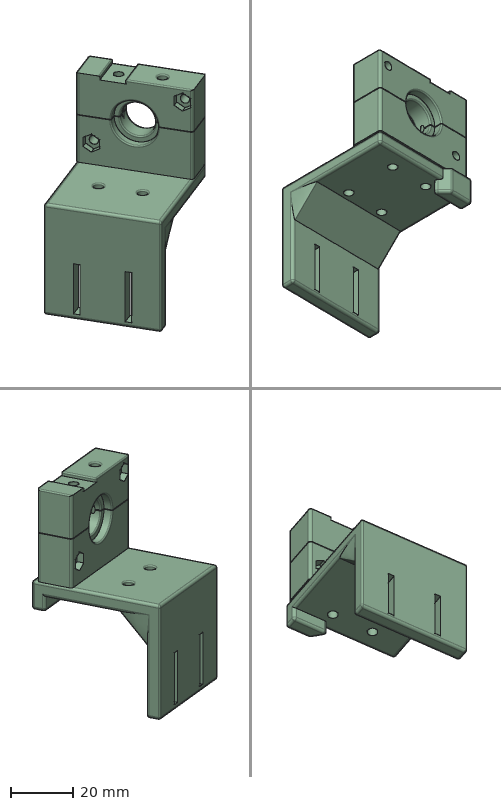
import cadquery as cq
import math

WIDTH = 40.0
DEPTH = 46.7
HEIGHT = 72.2
PLATE_TOP = 40.0
WALL = 5.0
EDGE_ROUND = 1.0
LEG_ROUND = 0.6
SMALL_ROUND = 0.47

HOOK_DROP = 10.0
HOOK_OVERHANG = 2.0
HOOK_WIDTH = 9.2
GUSSET_LEG = 10.0
SLOT_WIDTH = 2.2
SLOT_OFFSET = 8.8
SLOT_BOTTOM = 1.95
SLOT_TOP = 20.0

BLOCK_DEPTH = 12.7
LOWER_HEIGHT = 17.0
SPLIT_GAP = 0.2
NOTCH_START = 8.15
NOTCH_WIDTH = 8.7
NOTCH_DEPTH = 1.4
BORE_DIAMETER = 12.0
SEAT_DIAMETER = 16.0
SEAT_DEPTH = 3.0

BOLT_DIAMETER = 3.4
BOLT_OFFSET = 7.5
REAR_BOLT_Y = 38.0
FRONT_BOLT_Y = 18.0
SCREW_DIAMETER = 3.2
NUT_FLATS = 5.6
NUT_DEPTH = 2.5
LOWER_SCREW = (-14.7, 47.6)
UPPER_SCREW = (16.3, 67.4)

LEFT = -WIDTH / 2
RIGHT = WIDTH / 2
PLATE_BOTTOM = PLATE_TOP - WALL
PLATE_BACK = DEPTH - HOOK_OVERHANG
BLOCK_FRONT = PLATE_BACK - BLOCK_DEPTH
LOWER_TOP = PLATE_TOP + LOWER_HEIGHT
UPPER_BOTTOM = LOWER_TOP + SPLIT_GAP
BORE_Z = (LOWER_TOP + UPPER_BOTTOM) / 2
NOTCH_LEFT = LEFT + NOTCH_START
NOTCH_RIGHT = NOTCH_LEFT + NOTCH_WIDTH
NOTCH_FLOOR = HEIGHT - NOTCH_DEPTH


def box(x_range, y_range, z_range):
    """Axis-aligned box between the given limits."""
    spans = (x_range, y_range, z_range)
    lengths = [high - low for low, high in spans]
    corner = tuple(low for low, high in spans)
    return cq.Workplane("XY").box(*lengths, centered=False).translate(corner)


def bolt_hole(x, y):
    """Vertical bolt-sized cylinder over the full height."""
    return cq.Workplane("XY").center(x, y).circle(BOLT_DIAMETER / 2).extrude(HEIGHT)


def rounded_bolt_hole(x, y, rim_z):
    """Vertical bolt hole whose rim is rounded where it opens at rim_z."""
    hole_radius = BOLT_DIAMETER / 2
    rim_radius = hole_radius + SMALL_ROUND
    flare = (
        cq.Workplane("XZ")
        .lineTo(rim_radius, 0)
        .radiusArc((hole_radius, -SMALL_ROUND), -SMALL_ROUND)
        .lineTo(0, -SMALL_ROUND)
        .close()
        .revolve(360, (0, 0, 0), (0, 1, 0))
        .translate((x, y, rim_z))
    )
    return bolt_hole(x, y).union(flare)


def nut_screw_hole(place):
    """Screw hole along Y with a hexagonal nut pocket in the front face of a block."""
    front = cq.Workplane("XZ", origin=(0, BLOCK_FRONT, 0)).center(*place)
    screw = front.circle(SCREW_DIAMETER / 2).extrude(-BLOCK_DEPTH)
    nut = front.polygon(6, NUT_FLATS, circumscribed=True).extrude(-NUT_DEPTH)
    return screw.union(nut)


def bearing_bore():
    """Bore along Y with the same bearing seat at the front and the back, all rims rounded."""
    bore_radius = BORE_DIAMETER / 2
    seat_radius = SEAT_DIAMETER / 2
    middle = BLOCK_DEPTH / 2
    front_half = (
        cq.Workplane("XY")
        .lineTo(seat_radius + SMALL_ROUND, 0)
        .radiusArc((seat_radius, SMALL_ROUND), SMALL_ROUND)
        .lineTo(seat_radius, SEAT_DEPTH)
        .lineTo(bore_radius + SMALL_ROUND, SEAT_DEPTH)
        .radiusArc((bore_radius, SEAT_DEPTH + SMALL_ROUND), SMALL_ROUND)
        .lineTo(bore_radius, middle)
        .lineTo(0, middle)
        .close()
        .revolve(360, (0, 0, 0), (0, 1, 0))
        .translate((0, -middle, 0))
    )
    bore = front_half.union(front_half.mirror("XZ")).clean()
    return bore.translate((0, BLOCK_FRONT + middle, BORE_Z))


def rounded_column(bottom, top):
    """Block of the clamp's footprint with rounded vertical edges."""
    column = box((LEFT, RIGHT), (BLOCK_FRONT, PLATE_BACK), (bottom, top))
    return column.edges("|Z").fillet(EDGE_ROUND)


def bracket_shell():
    """Plate, front leg and rear hook with every outer edge rounded."""
    plate = box((LEFT, RIGHT), (0, PLATE_BACK), (PLATE_BOTTOM, PLATE_TOP))
    leg = box((LEFT, RIGHT), (0, WALL), (0, PLATE_TOP))
    hook_back_end = LEFT + HOOK_WIDTH
    hook_plate_end = hook_back_end + HOOK_OVERHANG
    hook_front_end = hook_back_end + WALL
    hook_front = DEPTH - WALL
    hook = (
        cq.Workplane("XY", origin=(0, 0, PLATE_TOP))
        .polyline([(LEFT, DEPTH), (hook_back_end, DEPTH), (hook_front_end, hook_front), (LEFT, hook_front)])
        .close()
        .extrude(-HOOK_DROP)
    )
    shell = plate.union(leg).union(hook).clean().val()

    inner_corners = [
        cq.Vector(0, WALL, PLATE_BOTTOM),
        cq.Vector((LEFT + hook_front_end) / 2, hook_front, PLATE_BOTTOM),
        cq.Vector((hook_plate_end + hook_front_end) / 2, (hook_front + PLATE_BACK) / 2, PLATE_BOTTOM),
        cq.Vector(hook_plate_end, PLATE_BACK, PLATE_TOP - WALL / 2),
    ]
    leg_front_edges = [cq.Vector(x, 0, PLATE_TOP / 2) for x in (LEFT, RIGHT)]
    set_aside = inner_corners + leg_front_edges
    same_place = EDGE_ROUND / 2
    outer_edges = [
        edge for edge in shell.Edges()
        if all((edge.Center() - middle).Length > same_place for middle in set_aside)
    ]
    rounded = cq.Workplane(obj=shell.fillet(EDGE_ROUND, outer_edges))
    return rounded.edges("|Z and <Y").fillet(LEG_ROUND)


def gusset():
    """Full-width 45 degree gusset whose two ends are quarter ellipses across the slope."""
    reach = GUSSET_LEG / math.sqrt(2)
    half_length = 2 * GUSSET_LEG
    root = -EDGE_ROUND * math.sqrt(2)
    across_slope = cq.Plane(origin=(0, WALL, PLATE_BOTTOM), xDir=(1, 0, 0), normal=(0, 1, 1))
    bar = (
        cq.Workplane(across_slope)
        .workplane(offset=-half_length)
        .moveTo(LEFT, root)
        .lineTo(RIGHT, root)
        .ellipseArc(EDGE_ROUND, reach - root, 0, 90)
        .lineTo(LEFT + EDGE_ROUND, reach)
        .ellipseArc(EDGE_ROUND, reach - root, 90, 180)
        .close()
        .extrude(2 * half_length)
    )
    inner_y = WALL - EDGE_ROUND
    inner_z = PLATE_BOTTOM + EDGE_ROUND
    leg = GUSSET_LEG + 2 * EDGE_ROUND
    triangle = (
        cq.Workplane("YZ", origin=(LEFT, 0, 0))
        .polyline([(inner_y, inner_z), (inner_y + leg, inner_z), (inner_y, inner_z - leg)])
        .close()
        .extrude(WIDTH)
    )
    return bar.intersect(triangle)


def make_bracket():
    """Shell and gusset with two adjustment slots and four bolt holes."""
    bracket = bracket_shell().union(gusset())
    for side in (-1, 1):
        slot_x = side * SLOT_OFFSET
        slot_sides = (slot_x - SLOT_WIDTH / 2, slot_x + SLOT_WIDTH / 2)
        slot = box(slot_sides, (0, WALL), (SLOT_BOTTOM, SLOT_TOP))
        bracket = bracket.cut(slot)
        bracket = bracket.cut(rounded_bolt_hole(side * BOLT_OFFSET, FRONT_BOLT_Y, PLATE_TOP))
        bracket = bracket.cut(bolt_hole(side * BOLT_OFFSET, REAR_BOLT_Y))
    return bracket


def make_lower_block():
    """Lower half of the clamp, standing on the plate."""
    block = rounded_column(PLATE_TOP, LOWER_TOP)
    block = block.cut(bearing_bore()).cut(nut_screw_hole(LOWER_SCREW))
    for side in (-1, 1):
        block = block.cut(bolt_hole(side * BOLT_OFFSET, REAR_BOLT_Y))
    return block


def upper_left_land():
    """Land left of the notch, with its two top edges along Y rounded."""
    land = box((LEFT, NOTCH_LEFT), (BLOCK_FRONT, PLATE_BACK), (NOTCH_FLOOR, HEIGHT))
    return land.edges("|Y and >Z").fillet(SMALL_ROUND)


def upper_right_land():
    """Land right of the notch, rounded along its notch wall and its front and back top edges."""
    land = box((NOTCH_RIGHT, RIGHT), (BLOCK_FRONT, PLATE_BACK), (NOTCH_FLOOR, HEIGHT))
    return land.edges("(|X and >Z) or (|Z and <X) or (|Y and >Z and <X)").fillet(SMALL_ROUND)


def make_upper_block():
    """Upper half of the clamp, notched across its top."""
    base = box((LEFT, RIGHT), (BLOCK_FRONT, PLATE_BACK), (UPPER_BOTTOM, NOTCH_FLOOR))
    block = base.union(upper_left_land()).union(upper_right_land())
    block = block.intersect(rounded_column(UPPER_BOTTOM, HEIGHT))
    block = block.cut(bearing_bore()).cut(nut_screw_hole(UPPER_SCREW))
    block = block.cut(bolt_hole(-BOLT_OFFSET, REAR_BOLT_Y))
    return block.cut(rounded_bolt_hole(BOLT_OFFSET, REAR_BOLT_Y, HEIGHT))


bracket = make_bracket()
lower_block = make_lower_block()
upper_block = make_upper_block()

result = cq.Compound.makeCompound([body.solids().val() for body in (bracket, lower_block, upper_block)])